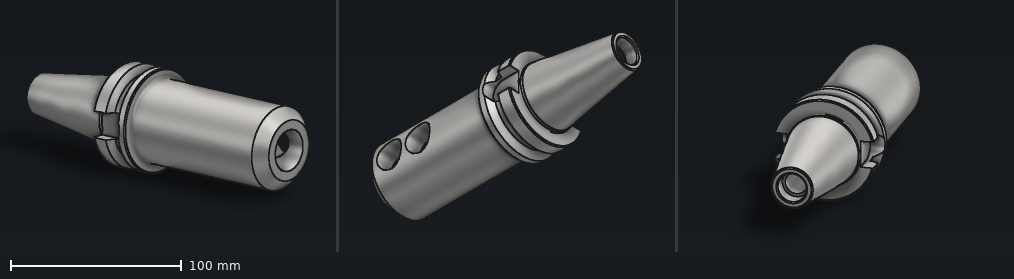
import cadquery as cq

length = 192.4
taper_end = 64.6
flange_start = 67.3
flange_end = 92.4
edge_break = 0.8

end_face_diameter = 23.9
end_chamfer_length = 0.5
taper_small_diameter = 25.5
taper_large_diameter = 44.5
neck_diameter = 44.0
neck_fillet = 0.8

flange_diameter = 63.0
groove_diameter = 52.7
groove_left_rim = 76.8
groove_floor_start = 79.5
groove_floor_end = 83.9
groove_right_rim = 87.2

body_diameter = 50.8
body_fillet = 1.5
nose_diameter = 36.5
nose_chamfer = (body_diameter - nose_diameter) / 2

through_diameter = 13.5
thread_diameter = 17.0
pilot_diameter = 17.5
pilot_depth = 5.8
pilot_cone_length = 1.0
thread_depth = 9.5
mouth_diameter = 19.0
mouth_chamfer_length = 1.0

tool_bore_diameter = 25.0
tool_bore_depth = 59.6

slot_width = 16.2
slot_tip = 88.3
slot_floor_radius = 22.5

screw_diameter = 20.0
screw_positions = (147.8, 171.2)


def turned_body():
    """Outer shape of revolution about the X axis."""
    flange_radius = flange_diameter / 2
    body_radius = body_diameter / 2
    return (
        cq.Workplane("XY")
        .moveTo(0, 0)
        .lineTo(0, end_face_diameter / 2)
        .lineTo(end_chamfer_length, taper_small_diameter / 2)
        .lineTo(taper_end, taper_large_diameter / 2)
        .lineTo(taper_end, neck_diameter / 2)
        .lineTo(flange_start - neck_fillet, neck_diameter / 2)
        .radiusArc((flange_start, neck_diameter / 2 + neck_fillet), -neck_fillet)
        .lineTo(flange_start, flange_radius - edge_break)
        .lineTo(flange_start + edge_break, flange_radius)
        .lineTo(groove_left_rim, flange_radius)
        .lineTo(groove_floor_start, groove_diameter / 2)
        .lineTo(groove_floor_end, groove_diameter / 2)
        .lineTo(groove_right_rim, flange_radius)
        .lineTo(flange_end - edge_break, flange_radius)
        .lineTo(flange_end, flange_radius - edge_break)
        .lineTo(flange_end, body_radius + body_fillet)
        .radiusArc((flange_end + body_fillet, body_radius), -body_fillet)
        .lineTo(length - nose_chamfer, body_radius)
        .lineTo(length, nose_diameter / 2)
        .lineTo(length, 0)
        .close()
        .revolve(360, (0, 0, 0), (1, 0, 0))
    )


def axial_bore():
    """Pull-stud bore, coolant passage and tool bore as one solid."""
    return (
        cq.Workplane("XY")
        .moveTo(0, 0)
        .lineTo(0, mouth_diameter / 2)
        .lineTo(mouth_chamfer_length, pilot_diameter / 2)
        .lineTo(pilot_depth, pilot_diameter / 2)
        .lineTo(pilot_depth + pilot_cone_length, thread_diameter / 2)
        .lineTo(thread_depth, thread_diameter / 2)
        .lineTo(thread_depth, through_diameter / 2)
        .lineTo(length - tool_bore_depth, through_diameter / 2)
        .lineTo(length - tool_bore_depth, tool_bore_diameter / 2)
        .lineTo(length, tool_bore_diameter / 2)
        .lineTo(length, 0)
        .close()
        .revolve(360, (0, 0, 0), (1, 0, 0))
    )


def drive_slot(side):
    """Round-ended slot cut inward to a flat floor; side is +1 or -1 along Y."""
    half_width = slot_width / 2
    arc_start = slot_tip - half_width
    depth = flange_diameter / 2 - slot_floor_radius
    return (
        cq.Workplane("XZ", origin=(0, side * slot_floor_radius, 0))
        .moveTo(flange_start, -half_width)
        .lineTo(arc_start, -half_width)
        .threePointArc((slot_tip, 0), (arc_start, half_width))
        .lineTo(flange_start, half_width)
        .close()
        .extrude(-side * depth)
    )


def screw_holes():
    """Radial holes from the +Y side down to the axis of the bore."""
    return (
        cq.Workplane("XZ")
        .pushPoints([(x, 0) for x in screw_positions])
        .circle(screw_diameter / 2)
        .extrude(-body_diameter / 2)
    )


result = turned_body().cut(axial_bore())
for slot_side in (-1, 1):
    result = result.cut(drive_slot(slot_side))
result = result.cut(screw_holes())